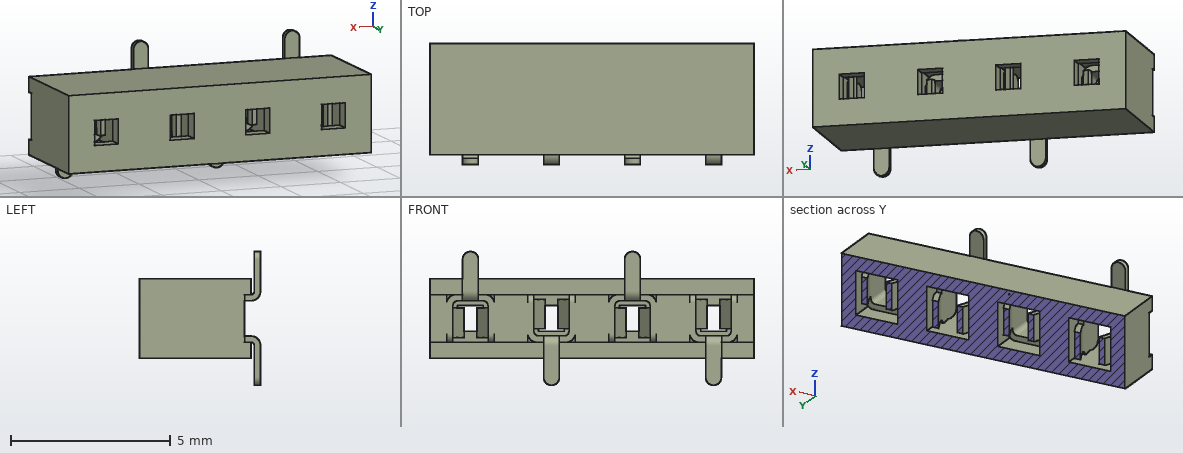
import cadquery as cq
import math

PITCH = 2.54
CONTACT_COUNT = 4

BODY_LENGTH = CONTACT_COUNT * PITCH
BODY_DEPTH = 3.5
BODY_HEIGHT = 2.5
GROOVE_DEPTH = 0.2
CAVITY_WIDTH = 1.48
CAVITY_HEIGHT = 1.5
BACK_WALL = 0.5
PIN_HOLE_SIZE = 0.8

SHEET = 0.2
CONTACT_WIDTH = 1.5
BEND_INNER = 0.1
BEND_OUTER = BEND_INNER + SHEET
CHANNEL_INNER_ROUND = 0.15
CHANNEL_OUTER_ROUND = 0.3
LEAD_WIDTH = 0.5
LEAD_FRONT_Y = -0.3
LEAD_TIP_Z = 2.1

CHANNEL_LENGTH = 0.95
CORNER_START_RISE = 0.25
CORNER_ROUND = 0.23
FIRST_BARB_Y = 0.38
VALLEY_Y = 0.54
VALLEY_RISE = 0.05
SECOND_BARB_Y = 0.82

BEAM_TOP_Z = 0.33
BEAM_BOTTOM_Z = -0.6
BEAM_GAP = 0.4
BEAM_ANGLE = math.radians(23)
BEAM_BEND = 0.5

CHANNEL_FRONT_Y = GROOVE_DEPTH
CHANNEL_END_Y = CHANNEL_FRONT_Y + CHANNEL_LENGTH
CONTACT_HALF = CONTACT_WIDTH / 2
CAVITY_TOP_Z = CAVITY_HEIGHT / 2
SOCKET_POSITIONS = [(i - (CONTACT_COUNT - 1) / 2) * PITCH for i in range(CONTACT_COUNT)]


def box(x_size, y_start, y_end, z_size, x_center=0):
    """Block centred on Z = 0 that spans the given Y range."""
    block = cq.Workplane("XY").box(x_size, y_end - y_start, z_size)
    return block.translate((x_center, (y_start + y_end) / 2, 0))


def make_housing():
    """Block with a full-length front groove, and one cavity and pin hole per contact."""
    housing = box(BODY_LENGTH, 0, BODY_DEPTH, BODY_HEIGHT)
    housing = housing.cut(box(BODY_LENGTH, 0, GROOVE_DEPTH, CAVITY_HEIGHT))
    for x in SOCKET_POSITIONS:
        housing = housing.cut(box(CAVITY_WIDTH, 0, BODY_DEPTH - BACK_WALL, CAVITY_HEIGHT, x))
        housing = housing.cut(box(PIN_HOLE_SIZE, 0, BODY_DEPTH, PIN_HOLE_SIZE, x))
    return housing


def make_channel():
    """U-shaped channel, open downward, with barbs on the lower edges of its side plates."""
    outer = box(CONTACT_WIDTH, CHANNEL_FRONT_Y, CHANNEL_END_Y, CAVITY_HEIGHT)
    outer = outer.edges("|Y and >Z").fillet(CHANNEL_OUTER_ROUND)
    inner = box(CONTACT_WIDTH - 2 * SHEET, CHANNEL_FRONT_Y, CHANNEL_END_Y, CAVITY_HEIGHT)
    inner = inner.edges("|Y and >Z").fillet(CHANNEL_INNER_ROUND).translate((0, 0, -SHEET))

    front = CHANNEL_FRONT_Y
    floor = -CAVITY_TOP_Z
    side_profile = (
        cq.Workplane("YZ")
        .moveTo(front, CAVITY_TOP_Z)
        .lineTo(front, floor + CORNER_START_RISE)
        .radiusArc((front + CORNER_ROUND, floor + CORNER_START_RISE - CORNER_ROUND), -CORNER_ROUND)
        .lineTo(front + FIRST_BARB_Y, floor)
        .lineTo(front + VALLEY_Y, floor + VALLEY_RISE)
        .lineTo(front + SECOND_BARB_Y, floor)
        .lineTo(CHANNEL_END_Y, BEAM_BOTTOM_Z)
        .lineTo(CHANNEL_END_Y, CAVITY_TOP_Z)
        .close()
        .extrude(CONTACT_HALF, both=True)
    )
    return outer.cut(inner).intersect(side_profile)


def on_circle(center, radius, angle):
    """Point on a circle, with the angle in radians from the first axis."""
    return (center[0] + radius * math.cos(angle), center[1] + radius * math.sin(angle))


def make_beam():
    """Spring beam on the +X side: a shoulder bend, a slope toward the pin and a curved tip."""
    root_x = CONTACT_HALF - SHEET
    tip_x = BEAM_GAP / 2
    bend_shift = BEAM_BEND * (1 - math.cos(BEAM_ANGLE))
    slope_length = (root_x - tip_x - 2 * bend_shift) / math.sin(BEAM_ANGLE)
    slope_run = slope_length * math.cos(BEAM_ANGLE)
    shoulder = (root_x - BEAM_BEND, CHANNEL_END_Y)
    tip = (tip_x + BEAM_BEND, CHANNEL_END_Y + slope_run + 2 * BEAM_BEND * math.sin(BEAM_ANGLE))

    slope_side = math.pi + BEAM_ANGLE
    free_end = math.pi - BEAM_ANGLE
    shoulder_outer = BEAM_BEND + SHEET
    tip_outer = BEAM_BEND - SHEET
    profile = (
        cq.Workplane("XY")
        .workplane(offset=BEAM_BOTTOM_Z)
        .moveTo(root_x, CHANNEL_END_Y)
        .radiusArc(on_circle(shoulder, BEAM_BEND, BEAM_ANGLE), -BEAM_BEND)
        .lineTo(*on_circle(tip, BEAM_BEND, slope_side))
        .radiusArc(on_circle(tip, BEAM_BEND, free_end), BEAM_BEND)
        .lineTo(*on_circle(tip, tip_outer, free_end))
        .radiusArc(on_circle(tip, tip_outer, slope_side), -tip_outer)
        .lineTo(*on_circle(shoulder, shoulder_outer, BEAM_ANGLE))
        .radiusArc((CONTACT_HALF, CHANNEL_END_Y), shoulder_outer)
        .close()
    )
    return profile.extrude(BEAM_TOP_Z - BEAM_BOTTOM_Z)


def make_lead():
    """Lead that leaves the channel roof, bends upward and ends in a half-round tip."""
    half_width = LEAD_WIDTH / 2
    roof_bottom = CAVITY_TOP_Z - SHEET
    lead_back_y = LEAD_FRONT_Y + SHEET
    lead = (
        cq.Workplane("YZ")
        .moveTo(CHANNEL_FRONT_Y, roof_bottom)
        .lineTo(LEAD_FRONT_Y + BEND_OUTER, roof_bottom)
        .radiusArc((LEAD_FRONT_Y, roof_bottom + BEND_OUTER), BEND_OUTER)
        .lineTo(LEAD_FRONT_Y, LEAD_TIP_Z)
        .lineTo(lead_back_y, LEAD_TIP_Z)
        .lineTo(lead_back_y, CAVITY_TOP_Z + BEND_INNER)
        .radiusArc((lead_back_y + BEND_INNER, CAVITY_TOP_Z), -BEND_INNER)
        .lineTo(CHANNEL_FRONT_Y, CAVITY_TOP_Z)
        .close()
        .extrude(half_width, both=True)
    )
    tip_center_z = LEAD_TIP_Z - half_width
    outline = (
        cq.Workplane("XZ")
        .moveTo(-half_width, 0)
        .lineTo(half_width, 0)
        .lineTo(half_width, tip_center_z)
        .threePointArc((0, LEAD_TIP_Z), (-half_width, tip_center_z))
        .close()
        .extrude(BODY_DEPTH, both=True)
    )
    return lead.intersect(outline)


def make_contact():
    """Complete contact with its lead pointing up."""
    beam = make_beam()
    return make_channel().union(beam).union(beam.mirror("YZ")).union(make_lead())


def make_connector():
    """Housing with its contacts, whose leads point up and down in turn."""
    connector = make_housing()
    contact_up = make_contact()
    contact_down = contact_up.rotate((0, 0, 0), (0, 1, 0), 180)
    for index, x in enumerate(SOCKET_POSITIONS):
        contact = contact_up if index % 2 == 0 else contact_down
        connector = connector.union(contact.translate((x, 0, 0)))
    return connector


result = make_connector()